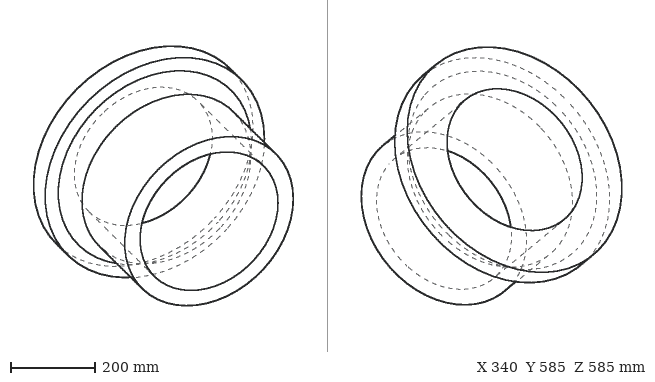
import cadquery as cq

total_length = 340.0
flange_diameter = 585.0
flange_thickness = 60.0
cone_length = 59.0
cone_base_diameter = 515.0
tube_diameter = 450.0
bore_diameter = 368.0

cone_end = flange_thickness + cone_length

half_section = (
    cq.Workplane("XY")
    .moveTo(0, bore_diameter / 2)
    .lineTo(0, flange_diameter / 2)
    .lineTo(flange_thickness, flange_diameter / 2)
    .lineTo(flange_thickness, cone_base_diameter / 2)
    .lineTo(cone_end, tube_diameter / 2)
    .lineTo(total_length, tube_diameter / 2)
    .lineTo(total_length, bore_diameter / 2)
    .close()
)

result = half_section.revolve(360, (0, 0, 0), (1, 0, 0)).translate((-total_length / 2, 0, 0))